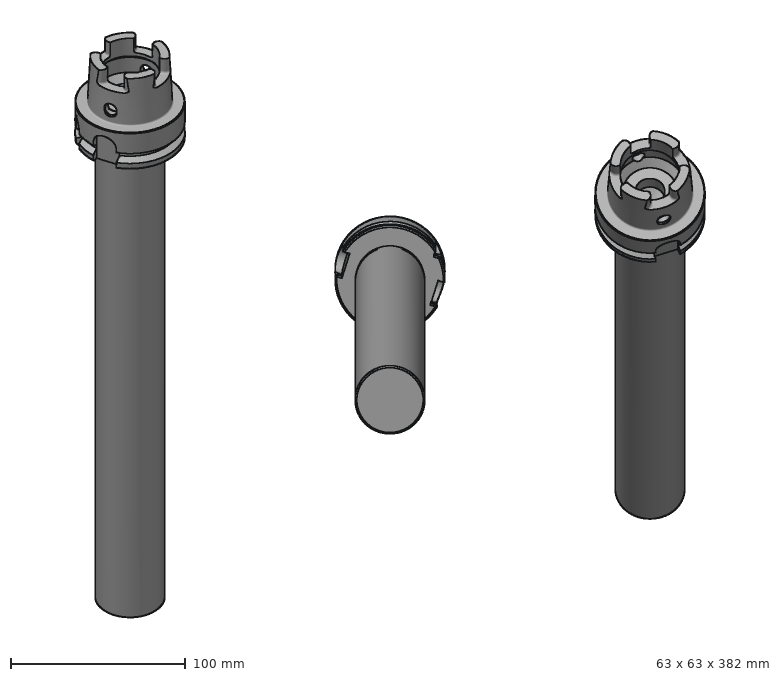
import cadquery as cq
import math

total_height = 382.0
drive_end_length = 32.0
flange_thickness = 26.0
face_z = total_height - drive_end_length
flange_bottom_z = face_z - flange_thickness

shaft_radius = 40.0 / 2
shaft_chamfer = 1.0
neck_radius = 39.4 / 2
neck_length = 3.0
neck_taper_length = 1.5

flange_radius = 63.0 / 2
flange_bottom_chamfer = 1.0
flange_face_chamfer = 0.5
groove_distance = 18.0
groove_z = face_z - groove_distance
groove_root_radius = 55.0 / 2
groove_mouth_half_width = 3.5
groove_flank_angle = 30.0

taper_gauge_radius = 48.04 / 2
taper_gauge_height = 7.0
taper_slope = 0.05
taper_root_fillet = 1.0
tongue_length = 10.0
tongue_slot_width = 12.0
tongue_corner_radius = 3.5
tongue_root_fillet = 1.5
tongue_base_z = total_height - tongue_length

bore_radius = 34.0 / 2
bore_depth = 12.5
clamp_groove_radius = 40.0 / 2
clamp_groove_angle = 45.0
bore_floor_height = 1.5
bore_floor_z = face_z + bore_floor_height
bore_floor_radius = 31.0 / 2
bore_floor_cone_angle = 45.0
drill_radius = 17.0 / 2
drill_depth = 10.0
drill_point_angle = 118.0

cross_hole_diameter = 7.5
cross_hole_countersink_diameter = 9.0
cross_hole_height = 8.7
cross_hole_z = face_z + cross_hole_height

keyway_width = 15.0
keyway_floor_y = 26.5
keyway_arc_distance = 12.5
keyway_arc_z = face_z - keyway_arc_distance
notch_corner = 20.0


def taper_radius_at(z):
    """Outer radius of the taper at height z."""
    return taper_gauge_radius - taper_slope * (z - face_z - taper_gauge_height)


def make_turned_body():
    """Revolve the outer profile of shaft, flange and taper to full height."""
    neck_bottom_z = flange_bottom_z - neck_length
    flank_height = (flange_radius - groove_root_radius) * math.tan(math.radians(groove_flank_angle))
    root_half_width = groove_mouth_half_width - flank_height
    taper_base_radius = taper_radius_at(face_z)
    profile = [
        (0, 0),
        (shaft_radius - shaft_chamfer, 0),
        (shaft_radius, shaft_chamfer),
        (shaft_radius, neck_bottom_z - neck_taper_length),
        (neck_radius, neck_bottom_z),
        (neck_radius, flange_bottom_z),
        (flange_radius - flange_bottom_chamfer, flange_bottom_z),
        (flange_radius, flange_bottom_z + flange_bottom_chamfer),
        (flange_radius, groove_z - groove_mouth_half_width),
        (groove_root_radius, groove_z - root_half_width),
        (groove_root_radius, groove_z + root_half_width),
        (flange_radius, groove_z + groove_mouth_half_width),
        (flange_radius, face_z - flange_face_chamfer),
        (flange_radius - flange_face_chamfer, face_z),
        (taper_base_radius, face_z),
        (taper_radius_at(total_height), total_height),
        (0, total_height),
    ]
    body = cq.Workplane("XZ").polyline(profile).close().revolve(360, (0, 0, 0), (0, 1, 0))
    flange_face = body.faces("%PLANE").faces(cq.selectors.NearestToPointSelector((0, 0, face_z)))
    taper_root = flange_face.edges(cq.selectors.RadiusNthSelector(0))
    return taper_root.fillet(taper_root_fillet)


def make_tongue_cutter():
    """Everything around the four tongues: a cross of two slots that flares out at the rim."""
    half_slot = tongue_slot_width / 2
    reach = 2 * taper_gauge_radius
    rim_radius = taper_radius_at(tongue_base_z)
    arc_center_x = half_slot + tongue_corner_radius
    arc_center_distance = rim_radius - tongue_corner_radius
    arc_center_y = math.sqrt(arc_center_distance**2 - arc_center_x**2)
    rim_x = arc_center_x * rim_radius / arc_center_distance
    rim_y = arc_center_y * rim_radius / arc_center_distance
    middle_angle = (math.pi + math.atan2(arc_center_y, arc_center_x)) / 2
    middle_x = arc_center_x + tongue_corner_radius * math.cos(middle_angle)
    middle_y = arc_center_y + tongue_corner_radius * math.sin(middle_angle)
    arm = (
        cq.Workplane("XY", origin=(0, 0, tongue_base_z))
        .moveTo(-half_slot, 0)
        .lineTo(half_slot, 0)
        .lineTo(half_slot, arc_center_y)
        .threePointArc((middle_x, middle_y), (rim_x, rim_y))
        .lineTo(rim_x, reach)
        .lineTo(-rim_x, reach)
        .lineTo(-rim_x, rim_y)
        .threePointArc((-middle_x, middle_y), (-half_slot, arc_center_y))
        .close()
        .extrude(2 * tongue_length)
    )
    cutter = arm
    for quarter in range(1, 4):
        cutter = cutter.union(arm.rotate((0, 0, 0), (0, 0, 1), 90 * quarter))
    return cutter.faces("<Z").edges().fillet(tongue_root_fillet)


def make_bore():
    """Bore with an undercut clamping groove, a coned floor and a drilled, cone-ended hole."""
    lip_z = total_height - bore_depth
    groove_step = clamp_groove_radius - bore_radius
    groove_top_z = lip_z - groove_step / math.tan(math.radians(clamp_groove_angle))
    floor_cone_step = clamp_groove_radius - bore_floor_radius
    groove_bottom_z = bore_floor_z + floor_cone_step / math.tan(math.radians(bore_floor_cone_angle))
    drill_bottom_z = bore_floor_z - drill_depth
    tip_z = drill_bottom_z - drill_radius / math.tan(math.radians(drill_point_angle / 2))
    profile = [
        (0, total_height),
        (bore_radius, total_height),
        (bore_radius, lip_z),
        (clamp_groove_radius, groove_top_z),
        (clamp_groove_radius, groove_bottom_z),
        (bore_floor_radius, bore_floor_z),
        (drill_radius, bore_floor_z),
        (drill_radius, drill_bottom_z),
        (0, tip_z),
    ]
    return cq.Workplane("XZ").polyline(profile).close().revolve(360, (0, 0, 0), (0, 1, 0))


def make_cross_hole():
    """Radial hole along Y through both walls of the taper, countersunk at each outer end."""
    hole_radius = cross_hole_diameter / 2
    sink_radius = cross_hole_countersink_diameter / 2
    outer_y = taper_radius_at(cross_hole_z)
    sink_bottom_y = outer_y - (sink_radius - hole_radius)
    profile = [
        (0, -flange_radius),
        (sink_radius, -flange_radius),
        (sink_radius, -outer_y),
        (hole_radius, -sink_bottom_y),
        (hole_radius, sink_bottom_y),
        (sink_radius, outer_y),
        (sink_radius, flange_radius),
        (0, flange_radius),
    ]
    hole = cq.Workplane("XY").polyline(profile).close().revolve(360, (0, 0, 0), (0, 1, 0))
    return hole.translate((0, 0, cross_hole_z))


def make_arched_slot(center_x, floor_y, side):
    """Round-topped slot open at the flange bottom, cut from the side (+1 or -1) of Y."""
    half_width = keyway_width / 2
    outline = (
        cq.Workplane("XZ", origin=(0, side * floor_y, 0))
        .moveTo(center_x - half_width, flange_bottom_z)
        .lineTo(center_x + half_width, flange_bottom_z)
        .lineTo(center_x + half_width, keyway_arc_z)
        .threePointArc((center_x, keyway_arc_z + half_width), (center_x - half_width, keyway_arc_z))
        .close()
    )
    return outline.extrude(-side * flange_radius)


result = make_turned_body()
result = result.cut(make_tongue_cutter())
result = result.cut(make_bore())
result = result.cut(make_cross_hole())
for keyway_side in (-1, 1):
    result = result.cut(make_arched_slot(0, keyway_floor_y, keyway_side))
result = result.cut(make_arched_slot(-notch_corner - keyway_width / 2, notch_corner, -1))